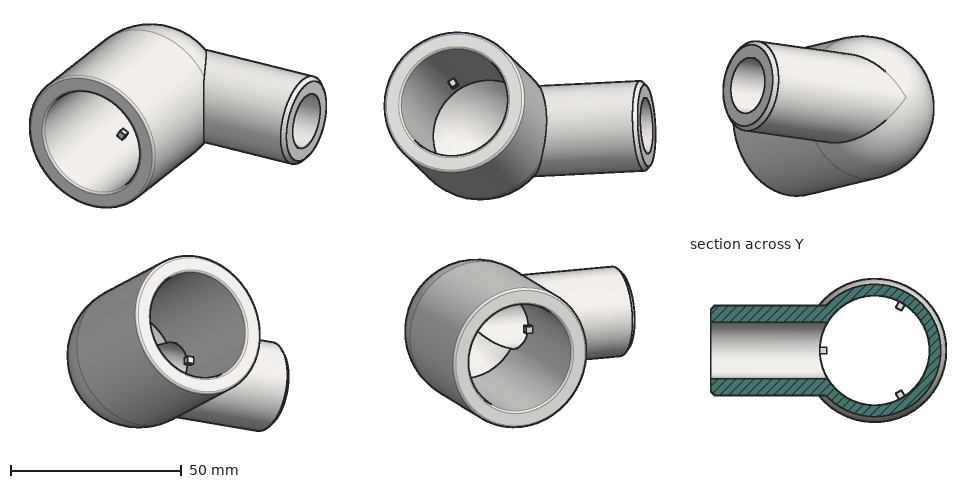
import cadquery as cq

total_length = 69.0
total_depth = 56.25
socket_diameter = 42.0
socket_bore = 32.0
spigot_diameter = 26.4
spigot_bore = 16.4
outer_rim_round = 0.7
inner_rim_round = 0.6
spigot_chamfer = 1.25
cavity_crown = 8.6
stop_size = 2.0
stop_height = 2.1
socket_depth = 31.05
stop_count = 3
stop_root = 0.7

socket_radius = socket_diameter / 2
bore_radius = socket_bore / 2
dome_y = total_depth - socket_radius
spigot_y = total_depth - spigot_diameter / 2
spigot_length = total_length - socket_radius


def domed_cylinder(radius, shoulder_y, crown_height):
    """Cylinder along +Y from the socket mouth, closed by a spherical cap from shoulder_y on."""
    cap_radius = (radius**2 + crown_height**2) / (2 * crown_height)
    return (
        cq.Workplane("XY")
        .lineTo(-radius, 0)
        .lineTo(-radius, shoulder_y)
        .radiusArc((0, shoulder_y + crown_height), cap_radius)
        .close()
        .revolve(360, (0, 0), (0, 1))
    )


def spigot_cylinder(diameter):
    """Cylinder along +X from the socket axis to the spigot end."""
    return cq.Workplane("YZ").center(spigot_y, 0).circle(diameter / 2).extrude(spigot_length)


def pipe_stop(angle):
    """Small block on the socket wall, turned about the socket axis."""
    return (
        cq.Workplane("XY")
        .box(stop_height + stop_root, stop_size, stop_size, centered=(False, False, True))
        .translate((bore_radius - stop_height, socket_depth, 0))
        .rotate((0, 0, 0), (0, 1, 0), angle)
    )


outer_socket = domed_cylinder(socket_radius, dome_y, socket_radius)
outer_socket = outer_socket.faces("<Y").edges().fillet(outer_rim_round)
outer_spigot = spigot_cylinder(spigot_diameter).faces(">X").edges().chamfer(spigot_chamfer)
socket_cavity = domed_cylinder(bore_radius, spigot_y, cavity_crown)

result = outer_socket.union(outer_spigot).cut(socket_cavity)
mouth_edge = cq.selectors.RadiusNthSelector(0)
result = result.faces("<Y").edges(mouth_edge).fillet(inner_rim_round)
result = result.cut(spigot_cylinder(spigot_bore))

for index in range(stop_count):
    result = result.union(pipe_stop(index * 360 / stop_count))